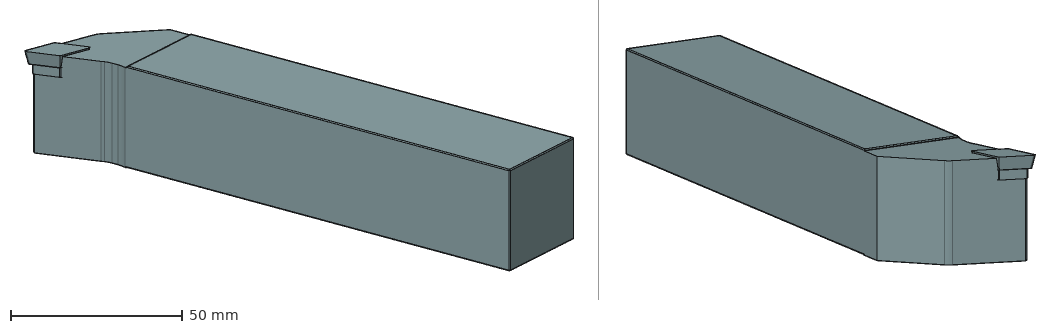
import cadquery as cq
import math

TOTAL_LENGTH = 170.0
SHANK_SIZE = 32.0
SHANK_START = 31.1
SHANK_CHAMFER = 0.3

HEAD_DROP = 0.5
HEAD_SETBACK = 0.5
HEAD_BACK_X = 23.6
HEAD_CORNER_Y = 16.7
HEAD_CORNER_RADIUS = 5.1
FLANK_END_X = 22.3
RELIEF_START = 25.7
RELIEF_END = 27.7
RELIEF_RADIUS = 8.5
NOSE_FLAT = 1.5

INSERT_ANGLE = 55.0
INSERT_TILT = 45.0
INSERT_HALF_DIAGONAL = 10.2
INSERT_NOSE_RADIUS = 0.5
INSERT_THICKNESS = 4.0
INSERT_CLEARANCE = 7.0
SEAT_THICKNESS = 3.0
SEAT_GAP = 0.3
SEAT_NOSE_FLAT = 1.2

HALF_ANGLE = math.radians(INSERT_ANGLE / 2)
TILT = math.radians(INSERT_TILT)
FLANK_ANGLE = TILT - HALF_ANGLE
TAPER_INSET = INSERT_THICKNESS * math.tan(math.radians(INSERT_CLEARANCE))
SEAT_INSET = TAPER_INSET + SEAT_GAP
INSERT_BOTTOM = SHANK_SIZE - INSERT_THICKNESS
SEAT_BOTTOM = INSERT_BOTTOM - SEAT_THICKNESS
HEAD_TOP = SHANK_SIZE - HEAD_DROP

NOSE_CENTRE_TO_INSERT = INSERT_HALF_DIAGONAL - INSERT_NOSE_RADIUS / math.sin(HALF_ANGLE)
OVERHANG = 8.0
INSERT_X = INSERT_NOSE_RADIUS + NOSE_CENTRE_TO_INSERT * math.cos(TILT)
INSERT_Y = -OVERHANG + INSERT_NOSE_RADIUS + NOSE_CENTRE_TO_INSERT * math.sin(TILT)


def rhombus_prism(inset, base, height, taper=0.0):
    """Rhombus extruded from Z = base, with its sides moved in by inset; its vertical edges stay sharp."""
    half_long = INSERT_HALF_DIAGONAL - inset / math.sin(HALF_ANGLE)
    half_short = half_long * math.tan(HALF_ANGLE)
    plane = cq.Plane(
        origin=(INSERT_X, INSERT_Y, base),
        xDir=(math.cos(TILT), math.sin(TILT), 0),
        normal=(0, 0, 1),
    )
    corners = [(-half_long, 0), (0, -half_short), (half_long, 0), (0, half_short)]
    return cq.Workplane(plane).polyline(corners).close().extrude(height, taper=taper)


def tapered_tip():
    """Cutting tip, narrowing downward, with rounded acute corners."""
    tip = rhombus_prism(0, SHANK_SIZE, -INSERT_THICKNESS, INSERT_CLEARANCE)
    along_diagonal = cq.Vector(math.cos(TILT), math.sin(TILT), 0)
    centre = cq.Vector(INSERT_X, INSERT_Y, 0)
    rising_edges = tip.edges("not(>Z or <Z)").vals()
    acute_edges = [
        edge for edge in rising_edges
        if abs((edge.Center() - centre).dot(along_diagonal)) > INSERT_HALF_DIAGONAL / 2
    ]
    return tip.newObject(acute_edges).fillet(INSERT_NOSE_RADIUS)


def make_insert():
    seat = rhombus_prism(SEAT_INSET, SEAT_BOTTOM, SEAT_THICKNESS)
    leg = SEAT_NOSE_FLAT / (2 * math.sin(HALF_ANGLE))
    outermost = cq.selectors.DirectionMinMaxSelector(cq.Vector(1, 1, 0), False)
    seat = seat.edges("|Z").edges(outermost).chamfer(leg)
    return seat.union(tapered_tip())


def make_shank():
    shank = cq.Workplane("XY").box(
        TOTAL_LENGTH - SHANK_START, SHANK_SIZE, SHANK_SIZE, centered=False
    ).translate((SHANK_START, 0, 0))
    return shank.edges("|X or >X or >Z").chamfer(SHANK_CHAMFER)


def make_head():
    reach = INSERT_HALF_DIAGONAL - SEAT_INSET / math.sin(HALF_ANGLE)
    point_x = INSERT_X - reach * math.cos(TILT)
    point_y = INSERT_Y - reach * math.sin(TILT)
    slope = math.tan(FLANK_ANGLE)
    leg = NOSE_FLAT / (2 * math.sin(HALF_ANGLE))
    nose_long, nose_short = leg * math.cos(FLANK_ANGLE), leg * math.sin(FLANK_ANGLE)
    corner_x = point_x + (HEAD_CORNER_Y - point_y) * slope
    flank_end_y = point_y + (FLANK_END_X - point_x) * slope

    def arc_point(tangent_x, angle):
        """Point on a concave arc that is tangent to the relief at tangent_x."""
        return (
            tangent_x + RELIEF_RADIUS * math.sin(angle),
            HEAD_SETBACK - RELIEF_RADIUS * (1 - math.cos(angle)),
        )

    runout_angle = math.acos(1 - HEAD_SETBACK / RELIEF_RADIUS)
    shank_overlap_x = SHANK_START + SHANK_CHAMFER
    head = (
        cq.Workplane("XY")
        .moveTo(point_x + nose_long, point_y + nose_short)
        .lineTo(FLANK_END_X, flank_end_y)
        .lineTo(*arc_point(RELIEF_START, -FLANK_ANGLE))
        .threePointArc(arc_point(RELIEF_START, -FLANK_ANGLE / 2), (RELIEF_START, HEAD_SETBACK))
        .lineTo(RELIEF_END, HEAD_SETBACK)
        .threePointArc(arc_point(RELIEF_END, runout_angle / 2), arc_point(RELIEF_END, runout_angle))
        .lineTo(SHANK_START, 0)
        .lineTo(SHANK_START, SHANK_CHAMFER)
        .lineTo(shank_overlap_x, SHANK_CHAMFER)
        .lineTo(shank_overlap_x, SHANK_SIZE)
        .lineTo(HEAD_BACK_X, SHANK_SIZE)
        .lineTo(corner_x, HEAD_CORNER_Y)
        .lineTo(point_x + nose_short, point_y + nose_long)
        .close()
        .extrude(HEAD_TOP)
    )
    corner = cq.selectors.NearestToPointSelector((corner_x, HEAD_CORNER_Y, HEAD_TOP / 2))
    return head.edges("|Z").edges(corner).fillet(HEAD_CORNER_RADIUS)


def make_holder():
    seat_pocket = rhombus_prism(TAPER_INSET, SEAT_BOTTOM, SEAT_THICKNESS)
    return make_shank().union(make_head()).cut(seat_pocket).cut(tapered_tip())


holder = make_holder()
insert = make_insert()
result = cq.Compound.makeCompound([holder.solids().val(), insert.solids().val()])